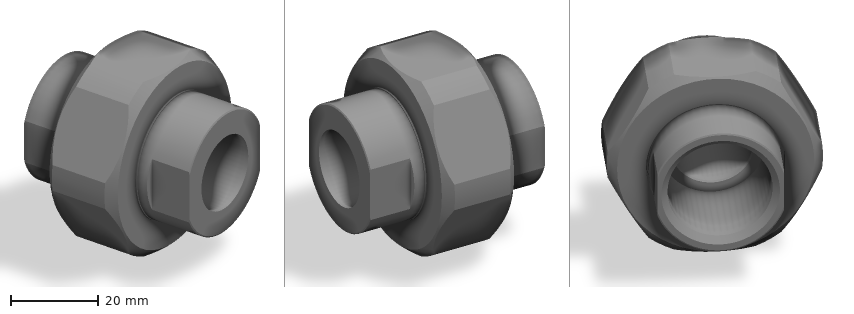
import cadquery as cq
import math

union_length = 46.0

nut_start = 12.9
nut_end = 32.0
nut_across_flats = 46.0
nut_corner_diameter = 49.65
nut_chamfer = 2.2
nut_hole_diameter = 32.0
nut_lip_thickness = 3.0
nut_bore_diameter = 38.95

barrel_diameter = 31.0
collar_diameter = 31.5
end_chamfer_length = 0.2
end_chamfer_depth = 0.35
seat_position = 21.85

tail_bore_diameter = 24.15
tail_mouth_diameter = 27.2
tail_mouth_depth = 1.55
tail_collar_recess = 0.5
tail_collar_start = nut_start + tail_collar_recess
tail_flat_offset = 14.5
tail_flat_length = 22.0
tail_flat_runout = 2.0

threaded_bore_diameter = 18.65
threaded_bore_chamfer = 0.35
threaded_collar_length = 0.45
threaded_collar_end = nut_end + threaded_collar_length
threaded_flat_offset = 14.0
threaded_flat_length = 21.2
threaded_flat_runout = 0.7


def revolve_about_x(points):
    """Revolve a closed outline of (axial position, radius) points about X."""
    return cq.Workplane("XY").polyline(points).close().revolve(360, (0, 0, 0), (1, 0, 0))


def cylinder_along_x(start, end, diameter):
    return cq.Workplane("YZ", origin=(start, 0, 0)).circle(diameter / 2).extrude(end - start)


def cut_wrench_flats(body, free_end, inward, offset, length, runout):
    """Cut two opposite flats from the free end; each slopes out to the barrel surface.

    inward is +1 or -1, the X direction from the free end into the body.
    """
    barrel_radius = barrel_diameter / 2
    slope = runout / (barrel_radius - offset)
    outer = collar_diameter
    flat_end = free_end + inward * length
    slope_end = flat_end + inward * slope * (outer - offset)
    for side in (1, -1):
        cutter = (
            cq.Workplane("XY", origin=(0, 0, -barrel_diameter))
            .polyline([
                (free_end - inward, side * offset),
                (flat_end, side * offset),
                (slope_end, side * outer),
                (free_end - inward, side * outer),
            ])
            .close()
            .extrude(2 * barrel_diameter)
        )
        reach = length + runout
        limit = cylinder_along_x(min(free_end, free_end + inward * reach),
                                 max(free_end, free_end + inward * reach), 2 * outer)
        body = body.cut(cutter.intersect(limit))
    return body


def make_nut():
    across_corners = nut_across_flats / math.cos(math.pi / 6)
    hexagon = (
        cq.Workplane("YZ", origin=(nut_start, 0, 0))
        .polygon(6, across_corners)
        .extrude(nut_end - nut_start)
    )
    rounding = cylinder_along_x(nut_start, nut_end, nut_corner_diameter).faces("<X or >X").chamfer(nut_chamfer)
    hole = cylinder_along_x(nut_start, nut_end, nut_hole_diameter)
    bore = cylinder_along_x(nut_start + nut_lip_thickness, nut_end, nut_bore_diameter)
    return hexagon.intersect(rounding).cut(hole).cut(bore)


def make_tailpiece():
    barrel_radius = barrel_diameter / 2
    collar_radius = collar_diameter / 2
    flange_radius = nut_bore_diameter / 2
    flange_start = nut_start + nut_lip_thickness
    bore_radius = tail_bore_diameter / 2
    tail = revolve_about_x([
        (0, tail_mouth_diameter / 2),
        (0, barrel_radius - end_chamfer_depth),
        (end_chamfer_length, barrel_radius),
        (tail_collar_start, barrel_radius),
        (tail_collar_start, collar_radius),
        (flange_start, collar_radius),
        (flange_start, flange_radius),
        (seat_position, flange_radius),
        (seat_position, bore_radius),
        (tail_mouth_depth, bore_radius),
    ])
    return cut_wrench_flats(tail, 0, 0.5, tail_flat_offset, tail_flat_length, tail_flat_runout)


def make_threaded_end():
    barrel_radius = barrel_diameter / 2
    collar_radius = collar_diameter / 2
    thread_radius = nut_bore_diameter / 2
    bore_radius = threaded_bore_diameter / 2
    end = revolve_about_x([
        (seat_position, bore_radius + threaded_bore_chamfer),
        (seat_position, thread_radius),
        (nut_end, thread_radius),
        (nut_end, collar_radius),
        (threaded_collar_end, collar_radius),
        (threaded_collar_end, barrel_radius),
        (union_length - end_chamfer_length, barrel_radius),
        (union_length, barrel_radius - end_chamfer_depth),
        (union_length, bore_radius),
        (seat_position + threaded_bore_chamfer, bore_radius),
    ])
    return cut_wrench_flats(end, union_length, -0.5, threaded_flat_offset,
                            threaded_flat_length, threaded_flat_runout)


nut = make_nut()
tailpiece = make_tailpiece()
threaded_end = make_threaded_end()

result = cq.Compound.makeCompound([nut.val(), tailpiece.val(), threaded_end.val()])